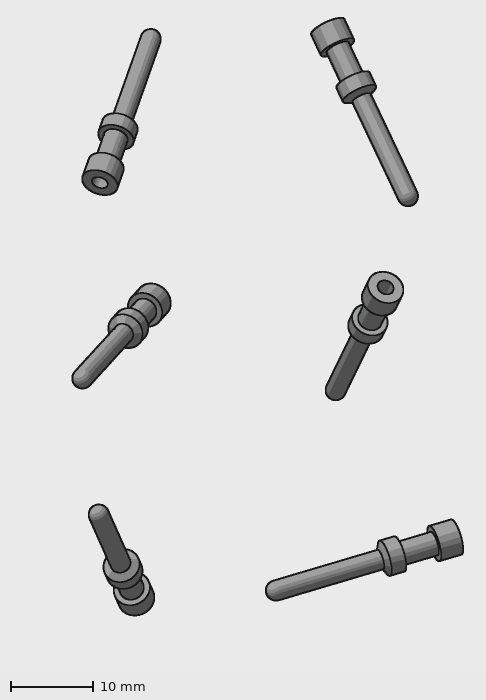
import cadquery as cq
import math

total_length = 25.0
body_diameter = 4.5
neck_diameter = 3.0
pin_diameter = 2.5

rear_collar_end = 2.9
front_collar_start = 7.5
shoulder_end = 10.0
shoulder_angle = 30.0

hole_diameter = 2.0
hole_depth = 7.0
drill_point_angle = 118.0

body_radius = body_diameter / 2
neck_radius = neck_diameter / 2
pin_radius = pin_diameter / 2
hole_radius = hole_diameter / 2

shoulder_length = (body_radius - pin_radius) * math.tan(math.radians(shoulder_angle))
front_collar_end = shoulder_end - shoulder_length
tip_start = total_length - pin_radius
tip_mid = pin_radius * math.sqrt(0.5)


def revolve_about_y(half_profile):
    """Turn a closed half profile, drawn in XY, about the Y axis."""
    return half_profile.revolve(360, (0, 0, 0), (0, 1, 0))


def make_body():
    """Two collars with a neck between them, a conical shoulder and a round-tipped pin."""
    half_profile = (
        cq.Workplane("XY")
        .moveTo(0, 0)
        .lineTo(body_radius, 0)
        .lineTo(body_radius, rear_collar_end)
        .lineTo(neck_radius, rear_collar_end)
        .lineTo(neck_radius, front_collar_start)
        .lineTo(body_radius, front_collar_start)
        .lineTo(body_radius, front_collar_end)
        .lineTo(pin_radius, shoulder_end)
        .lineTo(pin_radius, tip_start)
        .threePointArc((tip_mid, tip_start + tip_mid), (0, total_length))
        .close()
    )
    return revolve_about_y(half_profile)


def make_wire_hole():
    """Blind drilled hole with a conical bottom."""
    point_length = hole_radius / math.tan(math.radians(drill_point_angle / 2))
    half_profile = (
        cq.Workplane("XY")
        .moveTo(0, 0)
        .lineTo(hole_radius, 0)
        .lineTo(hole_radius, hole_depth)
        .lineTo(0, hole_depth + point_length)
        .close()
    )
    return revolve_about_y(half_profile)


result = make_body().cut(make_wire_hole())